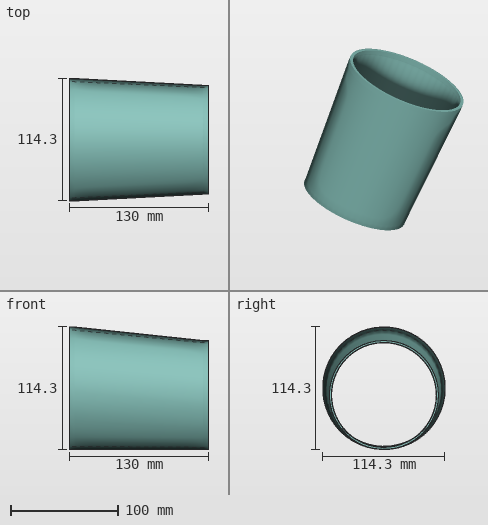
import cadquery as cq

length = 130.0
collar_length = 5.0

large_outer_diameter = 114.3
large_wall = 3.0
small_outer_diameter = 101.6
small_wall = 2.0

large_inner_diameter = large_outer_diameter - 2 * large_wall
small_inner_diameter = small_outer_diameter - 2 * small_wall

small_end_drop = (large_outer_diameter - small_outer_diameter) / 2
taper_length = length - 2 * collar_length
small_collar_start = length - collar_length


def collar(start_x, center_z, diameter):
    """Straight cylinder along X, one collar length long."""
    return (
        cq.Workplane("YZ", origin=(start_x, 0, center_z))
        .circle(diameter / 2)
        .extrude(collar_length)
    )


def taper(large_diameter, small_diameter):
    """Oblique cone joining the two collars."""
    return (
        cq.Workplane("YZ", origin=(collar_length, 0, 0))
        .circle(large_diameter / 2)
        .workplane(offset=taper_length)
        .center(0, -small_end_drop)
        .circle(small_diameter / 2)
        .loft(ruled=True, combine=True)
    )


def reducer_body(large_diameter, small_diameter):
    """Solid reducer shape: large collar, oblique cone, small collar."""
    large_collar = collar(0, 0, large_diameter)
    small_collar = collar(small_collar_start, -small_end_drop, small_diameter)
    return large_collar.union(taper(large_diameter, small_diameter)).union(small_collar)


outside = reducer_body(large_outer_diameter, small_outer_diameter)
bore = reducer_body(large_inner_diameter, small_inner_diameter)

result = outside.cut(bore)